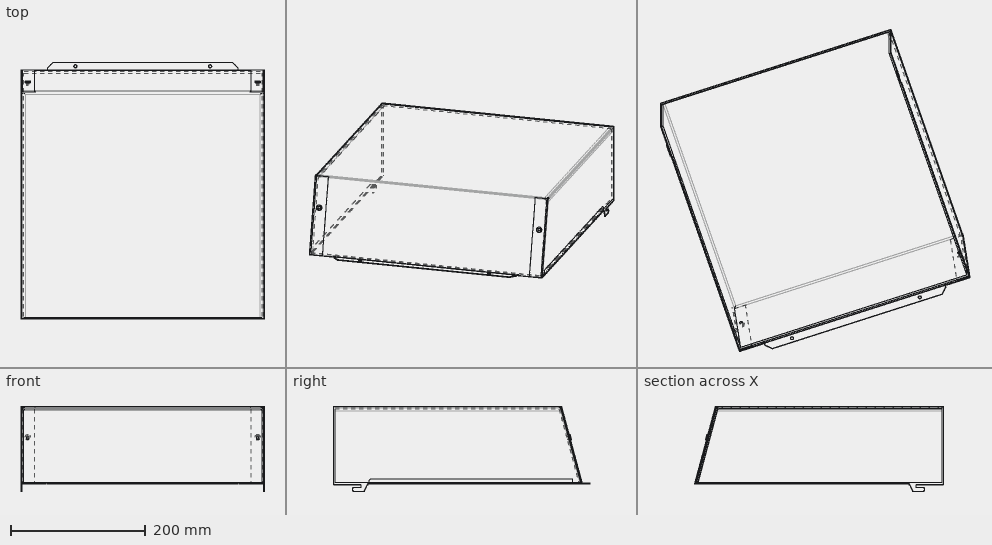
import cadquery as cq
import math


width = 361.0
height = 116.5
total_depth = 380.88
sheet = 1.0
bend_inner = 1.0
bend_outer = bend_inner + sheet
half_width = width / 2

rear_tilt = math.radians(15.0)
rear_foot_y = 369.5
rear_foot_z = 1.7
side_flange_width = 20.0

foot_flange_half_width = 141.5
foot_flange_corner = 8.5
foot_relief_width = 2.0
foot_relief_top_z = rear_foot_z + 1.5
foot_hole_diameter = 4.2
foot_hole_x = 100.0
foot_hole_inset = 6.0

hook_drop = 10.0
hook_root_y = 51.0
hook_heel_y = 45.5
hook_throat_y = 40.5
hook_tip_y = 27.9
hook_tongue = 6.5
front_corner_radius = 2.0

liner_thickness = 2.5
liner_bend_inner = 3.0
liner_bend_outer = liner_bend_inner + liner_thickness
liner_setback = 2.0
liner_bottom_z = 3.5

relief_depth = 0.4
relief_front_y = 52.5
relief_back_y = 354.5
relief_top_z = 8.9
relief_corner = 2.5

rivet_x = 170.6
rivet_z = 70.6
rivet_head_diameter = 8.0
rivet_head_height = 1.4
rivet_shank_diameter = 4.0

overrun = 50.0
span = 4 * total_depth


def rear_y(z, inset=0.0):
    """Y at height z of the plane lying `inset` inside the rear face."""
    return rear_foot_y - (z - rear_foot_z) * math.tan(rear_tilt) - inset / math.cos(rear_tilt)


def side_prism(points, x_start, x_end):
    """Prism along X with a (Y, Z) outline."""
    return cq.Workplane("YZ").workplane(offset=x_start).polyline(points).close().extrude(x_end - x_start)


def hood_block(half, front, rear_inset, bottom, top, side_radius, rear_radius):
    """Solid block with a leaning rear, rounded along its top side edges and its top rear edge."""
    outline = [
        (front, bottom),
        (rear_y(bottom, rear_inset), bottom),
        (rear_y(top, rear_inset), top),
        (front, top),
    ]
    profile = side_prism(outline, -half, half).faces(">Z").edges(">Y").fillet(rear_radius)
    arch = (
        cq.Workplane("XY")
        .box(2 * half, span, top - bottom, centered=(True, True, False))
        .translate((0, 0, bottom))
        .edges("|Y and >Z")
        .fillet(side_radius)
    )
    return profile.intersect(arch)


def leaning_block(half, rear_inset, corner_radius):
    """Block along the lean of the rear panel, with its two rear corners rounded."""
    length = span
    depth = span
    upright = (
        cq.Workplane("XY")
        .box(2 * half, depth, length)
        .edges("|Z and >Y")
        .fillet(corner_radius)
        .translate((0, -depth / 2, 0))
    )
    leaned = upright.rotate((0, 0, 0), (1, 0, 0), math.degrees(rear_tilt))
    return leaned.translate((0, rear_y(0, rear_inset), 0))


def make_rear_panel():
    """Rear plate with the bend into the roof; full width."""
    outline = [
        (0, rear_foot_z),
        (rear_y(rear_foot_z), rear_foot_z),
        (rear_y(height), height),
        (0, height),
    ]
    roof_z = height - sheet
    hollow = [
        (-overrun, -overrun),
        (rear_y(-overrun, sheet), -overrun),
        (rear_y(roof_z, sheet), roof_z),
        (-overrun, roof_z),
    ]
    outer = side_prism(outline, -half_width, half_width).faces(">Z").edges(">Y").fillet(bend_outer)
    inner = side_prism(hollow, -width, width).faces(">Z").edges(">Y").fillet(bend_inner)
    bend_start_y = rear_y(height) - 2 * bend_outer
    keep = cq.Workplane("XY").box(width, 2 * overrun, span).translate((0, bend_start_y + overrun, 0))
    return outer.cut(inner).intersect(keep)


def make_walls():
    """Roof and side walls, with the side walls turned inward behind the rear panel."""
    outer = hood_block(half_width, 0, 0, 0, height, bend_outer, bend_outer)
    outer = outer.intersect(leaning_block(half_width, sheet, bend_outer))
    inner_half = half_width - sheet
    inner = hood_block(inner_half, -overrun, sheet, -overrun, height - sheet, bend_inner, bend_inner)
    inner = inner.intersect(leaning_block(inner_half, 2 * sheet, bend_inner))
    opening_half = half_width - side_flange_width
    opening = hood_block(opening_half, -overrun, sheet, -overrun, height - sheet, bend_inner, bend_inner)
    walls = outer.cut(inner).cut(opening)
    behind_hooks = cq.Workplane("XY").box(span, total_depth, 2 * rear_foot_z)
    walls = walls.cut(behind_hooks.translate((0, hook_root_y + total_depth / 2, 0)))
    return walls.edges("|X").edges("<Y").edges("<Z").fillet(front_corner_radius)


def make_hook(x_start):
    tongue_top = hook_tongue - hook_drop
    tip_radius = hook_tongue / 2
    return (
        cq.Workplane("YZ")
        .workplane(offset=x_start)
        .moveTo(hook_root_y, rear_foot_z)
        .lineTo(hook_heel_y, -hook_drop)
        .lineTo(hook_tip_y + tip_radius, -hook_drop)
        .threePointArc((hook_tip_y, tongue_top - tip_radius), (hook_tip_y + tip_radius, tongue_top))
        .lineTo(hook_throat_y, tongue_top)
        .lineTo(hook_throat_y, rear_foot_z)
        .close()
        .extrude(sheet)
    )


def make_foot_flange():
    root_y = rear_y(rear_foot_z, sheet)
    corner_y = total_depth - foot_flange_corner
    tip_half = foot_flange_half_width - foot_flange_corner
    outline = [
        (-foot_flange_half_width, root_y),
        (foot_flange_half_width, root_y),
        (foot_flange_half_width, corner_y),
        (tip_half, total_depth),
        (-tip_half, total_depth),
        (-foot_flange_half_width, corner_y),
    ]
    hole_y = total_depth - foot_hole_inset
    return (
        cq.Workplane("XY")
        .workplane(offset=rear_foot_z)
        .polyline(outline)
        .close()
        .pushPoints([(-foot_hole_x, hole_y), (foot_hole_x, hole_y)])
        .circle(foot_hole_diameter / 2)
        .extrude(sheet)
    )


def make_foot_relief(x_centre):
    """Notch in the bottom edge of the rear panel, beside the end of the foot flange."""
    notch = cq.Workplane("XY").box(foot_relief_width, 4 * sheet, 2 * foot_relief_top_z)
    return notch.translate((x_centre, rear_y(rear_foot_z), 0))


def make_liner():
    outer_half = half_width - sheet
    inner_half = outer_half - liner_thickness
    outer_top = height - sheet
    inner_top = outer_top - liner_thickness
    outer_rear = 2 * sheet
    inner_rear = outer_rear + liner_thickness
    outer = hood_block(
        outer_half, liner_setback, outer_rear, liner_bottom_z, outer_top, liner_bend_outer, liner_bend_outer
    )
    outer = outer.intersect(leaning_block(outer_half, outer_rear, bend_inner))
    inner = hood_block(
        inner_half, -overrun, inner_rear, -overrun, inner_top, liner_bend_inner, liner_bend_inner
    )
    liner = outer.cut(inner)
    relief = [
        (relief_front_y, 0),
        (relief_front_y, relief_top_z - relief_corner),
        (relief_front_y + relief_corner, relief_top_z),
        (relief_back_y, relief_top_z),
        (relief_back_y, 0),
    ]
    floor_half = outer_half - relief_depth
    for x_start, x_end in ((-outer_half, -floor_half), (floor_half, outer_half)):
        liner = liner.cut(side_prism(relief, x_start, x_end))
    return liner


def rivet_parts(x):
    """Head and shank of a rivet square to the rear panel."""
    normal = (0, math.cos(rear_tilt), math.sin(rear_tilt))
    seat = cq.Plane((x, rear_y(rivet_z), rivet_z), (1, 0, 0), normal)
    head = cq.Workplane(seat).circle(rivet_head_diameter / 2).extrude(rivet_head_height)
    grip = 2 * sheet + liner_thickness
    shank = cq.Workplane(seat).circle(rivet_shank_diameter / 2).extrude(-grip)
    return head, shank


cover = make_walls().union(make_rear_panel()).union(make_foot_flange())
for hook_x in (-half_width, half_width - sheet):
    cover = cover.union(make_hook(hook_x))
relief_x = foot_flange_half_width + foot_relief_width / 2
for x in (-relief_x, relief_x):
    cover = cover.cut(make_foot_relief(x))

liner = make_liner()

rivets = []
for x in (-rivet_x, rivet_x):
    head, shank = rivet_parts(x)
    cover = cover.cut(shank)
    liner = liner.cut(shank)
    rivets.append(head.union(shank))

result = cq.Compound.makeCompound([cover.val(), liner.val(), *[rivet.val() for rivet in rivets]])